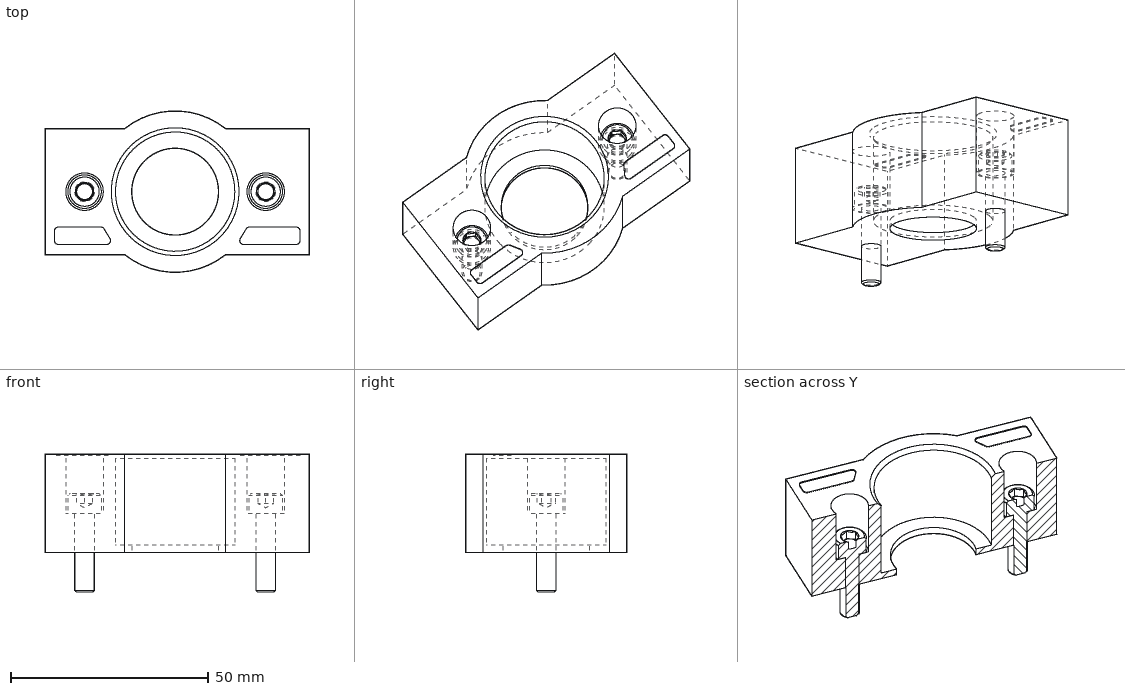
import cadquery as cq
import math

BLOCK_LENGTH = 67.0
BLOCK_LEFT = -32.95
BLOCK_RIGHT = BLOCK_LEFT + BLOCK_LENGTH
BLOCK_WIDTH = 32.0
TOTAL_HEIGHT = 35.0
SCREW_PROTRUSION = 10.0
HOUSING_HEIGHT = TOTAL_HEIGHT - SCREW_PROTRUSION
BOSS_DIAMETER = 41.0

BORE_DIAMETER = 30.3
BORE_MOUTH_DIAMETER = 32.4
THROUGH_DIAMETER = 22.0
BORE_FLOOR = 2.0

LABEL_DEPTH = 0.3
LABEL_FRONT = -13.4
LABEL_BACK = -9.0
LABEL_END_MARGIN = 2.35
LABEL_TIP = 15.6
LABEL_SHOULDER = 18.3
LABEL_CORNER_RADIUS = 1.0

SCREW_OFFSET = 23.0
SHANK_DIAMETER = 5.0
TIP_DIAMETER = 4.15
TIP_CHAMFER = (SHANK_DIAMETER - TIP_DIAMETER) / 2
HEAD_DIAMETER = 8.5
HEAD_HEIGHT = 5.0
HEAD_CHAMFER = 0.55
HEAD_SEAT = 10.0
HEAD_TOP = HEAD_SEAT + HEAD_HEIGHT
COUNTERBORE_DIAMETER = 9.5

SOCKET_FLATS = 4.0
SOCKET_CORNERS = SOCKET_FLATS / math.cos(math.pi / 6)
SOCKET_TURN = 30
SOCKET_DEPTH = 2.5
SOCKET_CONE_ANGLE = math.radians(30)


def cylinder(diameter, bottom, top, x=0.0):
    """Vertical cylinder between two heights, on the x axis of the housing."""
    return cq.Workplane("XY", origin=(x, 0, bottom)).circle(diameter / 2).extrude(top - bottom)


def chamfered_mouth(bore_diameter, mouth_diameter, top, x=0.0):
    """Cone frustum cut that chamfers the rim of a bore at 45 degrees."""
    depth = (mouth_diameter - bore_diameter) / 2
    base = cq.Vector(x, 0, top - depth)
    return cq.Workplane(cq.Solid.makeCone(bore_diameter / 2, mouth_diameter / 2, depth, pnt=base))


def label_recess(side, end_face):
    """Rounded trapezoid cut; side is -1 for the left recess and +1 for the right one."""
    outer_edge = end_face - side * LABEL_END_MARGIN
    return (
        cq.Workplane("XY", origin=(0, 0, HOUSING_HEIGHT - LABEL_DEPTH))
        .moveTo(outer_edge, LABEL_FRONT)
        .lineTo(outer_edge, LABEL_BACK)
        .lineTo(side * LABEL_SHOULDER, LABEL_BACK)
        .lineTo(side * LABEL_TIP, LABEL_FRONT)
        .close()
        .extrude(LABEL_DEPTH)
        .edges("|Z")
        .fillet(LABEL_CORNER_RADIUS)
    )


def make_housing():
    """Block with boss, stepped bore, two counterbored screw holes and two label recesses."""
    block = cq.Workplane("XY").box(BLOCK_LENGTH, BLOCK_WIDTH, HOUSING_HEIGHT, centered=(False, True, False))
    body = block.translate((BLOCK_LEFT, 0, 0)).union(cylinder(BOSS_DIAMETER, 0, HOUSING_HEIGHT))

    bore = cylinder(BORE_DIAMETER, BORE_FLOOR, HOUSING_HEIGHT)
    bore_mouth = chamfered_mouth(BORE_DIAMETER, BORE_MOUTH_DIAMETER, HOUSING_HEIGHT)
    body = body.cut(bore).cut(bore_mouth).cut(cylinder(THROUGH_DIAMETER, 0, BORE_FLOOR))

    for side, end_face in ((-1, BLOCK_LEFT), (1, BLOCK_RIGHT)):
        x = side * SCREW_OFFSET
        body = body.cut(cylinder(SHANK_DIAMETER, 0, HEAD_SEAT, x))
        body = body.cut(cylinder(COUNTERBORE_DIAMETER, HEAD_SEAT, HOUSING_HEIGHT, x))
        body = body.cut(label_recess(side, end_face))
    return body


def screw_socket(x):
    """Hexagonal key socket with a countersunk rim and a shallow conical bottom."""
    socket_floor = HEAD_TOP - SOCKET_DEPTH
    hexagon = (
        cq.Workplane("XY")
        .polygon(6, SOCKET_CORNERS)
        .extrude(SOCKET_DEPTH)
        .rotate((0, 0, 0), (0, 0, 1), SOCKET_TURN)
        .translate((x, 0, socket_floor))
    )
    cone_depth = SOCKET_FLATS / 2 * math.tan(SOCKET_CONE_ANGLE)
    cone_tip = cq.Vector(x, 0, socket_floor - cone_depth)
    cone = cq.Workplane(cq.Solid.makeCone(0, SOCKET_FLATS / 2, cone_depth, pnt=cone_tip))
    rim = chamfered_mouth(SOCKET_FLATS, SOCKET_CORNERS, HEAD_TOP, x)
    return hexagon.union(cone).union(rim)


def make_screw(x):
    """Socket head cap screw with its tip below the housing."""
    shank = cylinder(SHANK_DIAMETER, -SCREW_PROTRUSION, HEAD_SEAT, x).faces("<Z").chamfer(TIP_CHAMFER)
    head = cylinder(HEAD_DIAMETER, HEAD_SEAT, HEAD_TOP, x).faces(">Z").chamfer(HEAD_CHAMFER)
    return shank.union(head).cut(screw_socket(x))


housing = make_housing()
screws = [make_screw(side * SCREW_OFFSET) for side in (-1, 1)]

result = cq.Compound.makeCompound([housing.val(), *[screw.val() for screw in screws]])